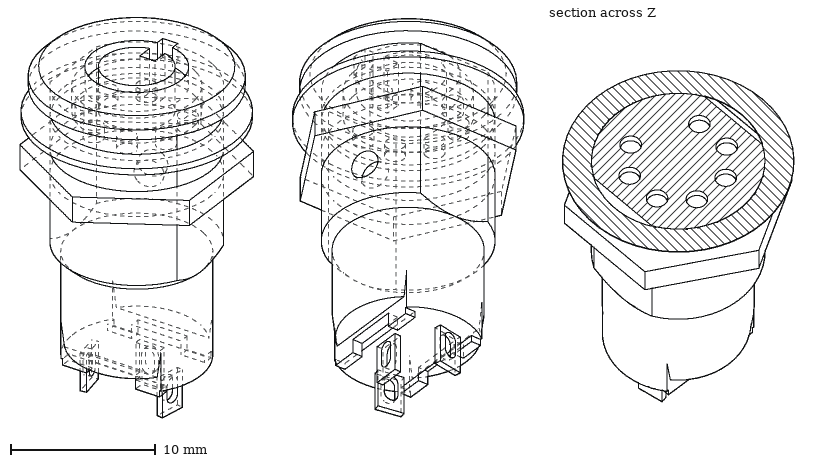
import cadquery as cq
import math


head_diameter = 15.0
head_thickness = 1.5
head_chamfer = 0.73
barrel_diameter = 12.0
barrel_flats = 10.5
barrel_straight_depth = 14.0
barrel_end_depth = 14.72

case_radius = barrel_flats / 2
case_taper_depth = 20.0
case_end_depth = 22.0
case_end_radius = 5.02

opening_radius = 3.6
cavity_radius = 4.5
cavity_floor_depth = 3.5
core_radius = 2.65
key_slot_width = 1.25
key_slot_outer = 4.2
key_slot_inner = 1.33
pin_positions = 8
pin_step = 360 / pin_positions
key_side_position = 1
pin_circle_radius = 3.6
pin_hole_radius = 0.73
pin_hole_depth = 1.0

side_hole_diameter = 2.1
side_hole_depth = 11.08
side_hole_angle = 90 + pin_step / 2
side_hole_length = 1.5

base_width = 6.5
base_top_depth = 19.68
base_bottom_depth = 23.0
foot_bottom_depth = 23.5
foot_outer_x = 4.0
foot_inner_x = 2.03
foot_width = 0.8
notch_top_depth = 22.4

washer_diameter = 16.0
washer_top_depth = 3.54
washer_thickness = 0.5
nut_across_corners = 16.17
nut_top_depth = 6.5
nut_thickness = 2.0

terminal_width = 2.03
terminal_thickness = 0.5
terminal_end_depth = 26.0
terminal_hole_width = 1.05
terminal_hole_length = 2.0
terminal_hole_depth = 24.18
rear_terminal_y = 1.66
side_terminal_x = 3.33
side_terminal_y = -0.9
side_terminal_tilt = 10


def layer(top_depth, bottom_depth):
    """Workplane at the bottom depth, with the height up to the top depth."""
    return cq.Workplane("XY").workplane(offset=-bottom_depth), bottom_depth - top_depth


def disc(radius, top_depth, bottom_depth):
    plane, height = layer(top_depth, bottom_depth)
    return plane.circle(radius).extrude(height)


def block(x_min, x_max, y_min, y_max, top_depth, bottom_depth):
    plane, height = layer(top_depth, bottom_depth)
    center = ((x_min + x_max) / 2, (y_min + y_max) / 2)
    return plane.center(*center).rect(x_max - x_min, y_max - y_min).extrude(height)


def barrel_and_case():
    """Head, double-D barrel and tapered rear case."""
    head = disc(head_diameter / 2, 0, head_thickness).faces(">Z").chamfer(head_chamfer)
    barrel_radius = barrel_diameter / 2
    profile = [
        (0, -head_thickness),
        (barrel_radius, -head_thickness),
        (barrel_radius, -barrel_straight_depth),
        (case_radius, -barrel_end_depth),
        (case_radius, -case_taper_depth),
        (case_end_radius, -case_end_depth),
        (0, -case_end_depth),
    ]
    turned = cq.Workplane("XZ").polyline(profile).close().revolve(360, (0, 0), (0, 1))
    flat = barrel_flats / 2
    between_flats = block(-flat, flat, -barrel_radius, barrel_radius, head_thickness, case_end_depth)
    return head.union(turned.intersect(between_flats))


def key_opening():
    """Space for the key: ring opening, wider cavity, key slot and pin holes around the core."""
    half_slot = key_slot_width / 2
    opening = disc(opening_radius, 0, cavity_floor_depth)
    cavity = disc(cavity_radius, head_thickness, cavity_floor_depth)
    core = disc(core_radius, 0, cavity_floor_depth)
    outer_slot = block(-half_slot, half_slot, 0, key_slot_outer, 0, head_thickness)
    core_slot = block(-half_slot, half_slot, key_slot_inner, core_radius, 0, cavity_floor_depth)
    core = core.cut(core_slot)
    space = opening.union(cavity).union(outer_slot).cut(core)
    pin_hole = disc(pin_hole_radius, cavity_floor_depth, cavity_floor_depth + pin_hole_depth)
    for position in range(pin_positions):
        if position != key_side_position:
            angle = math.radians((position + 0.5) * pin_step)
            x = pin_circle_radius * math.cos(angle)
            y = pin_circle_radius * math.sin(angle)
            space = space.union(pin_hole.translate((x, y, 0)))
    return space


def side_hole():
    """Radial blind hole in the barrel, beside the key slot direction."""
    hole_bottom = barrel_diameter / 2 - side_hole_length
    hole = cq.Workplane("YZ").workplane(offset=hole_bottom).center(0, -side_hole_depth)
    hole = hole.circle(side_hole_diameter / 2).extrude(2 * side_hole_length)
    return hole.rotate((0, 0, 0), (0, 0, 1), side_hole_angle)


def base_slab():
    """Slab across the case, flush with it on the -X and +X ends."""
    half_width = base_width / 2
    slab = block(-case_radius, case_radius, -half_width, half_width, base_top_depth, base_bottom_depth)
    return slab.intersect(disc(case_radius, base_top_depth, base_bottom_depth))


def base():
    """Slab with a notch in its -Y and +Y sides and a foot at each end of each notch."""
    half_width = base_width / 2
    slab = base_slab()
    for side in (-1, 1):
        y_min, y_max = sorted((side * half_width, side * (half_width - foot_width)))
        notch = block(-foot_inner_x, foot_inner_x, y_min, y_max, notch_top_depth, base_bottom_depth)
        slab = slab.cut(notch)
        for x_min, x_max in ((-foot_outer_x, -foot_inner_x), (foot_inner_x, foot_outer_x)):
            slab = slab.union(block(x_min, x_max, y_min, y_max, notch_top_depth, foot_bottom_depth))
    return slab


def make_housing():
    shell = barrel_and_case().cut(key_opening()).cut(side_hole()).cut(base_slab())
    return shell.union(base(), clean=False)


def make_washer():
    bottom_depth = washer_top_depth + washer_thickness
    washer = disc(washer_diameter / 2, washer_top_depth, bottom_depth)
    return washer.cut(disc(barrel_diameter / 2, washer_top_depth, bottom_depth))


def make_nut():
    """Hexagonal nut with corners on -Y and +Y."""
    bottom_depth = nut_top_depth + nut_thickness
    plane, height = layer(nut_top_depth, bottom_depth)
    nut = plane.polygon(6, nut_across_corners).extrude(height).rotate((0, 0, 0), (0, 0, 1), 90)
    return nut.cut(disc(barrel_diameter / 2, nut_top_depth, bottom_depth))


def make_terminal(x, y, angle):
    """Flat blade with an oblong hole, turned about its own vertical axis and moved to (x, y)."""
    half_width = terminal_width / 2
    half_thickness = terminal_thickness / 2
    blade = block(-half_width, half_width, -half_thickness, half_thickness,
                  base_bottom_depth, terminal_end_depth)
    hole = cq.Workplane("XZ").center(0, -terminal_hole_depth)
    hole = hole.slot2D(terminal_hole_length, terminal_hole_width, 90).extrude(terminal_thickness, both=True)
    return blade.cut(hole).rotate((0, 0, 0), (0, 0, 1), angle).translate((x, y, 0))


housing = make_housing()
washer = make_washer()
nut = make_nut()

terminal_places = [
    (0, rear_terminal_y, 0),
    (-side_terminal_x, side_terminal_y, 90 + side_terminal_tilt),
    (side_terminal_x, side_terminal_y, 90 - side_terminal_tilt),
]
terminals = [make_terminal(x, y, angle) for x, y, angle in terminal_places]

result = cq.Compound.makeCompound(
    [housing.val(), washer.val(), nut.val()] + [terminal.val() for terminal in terminals]
)